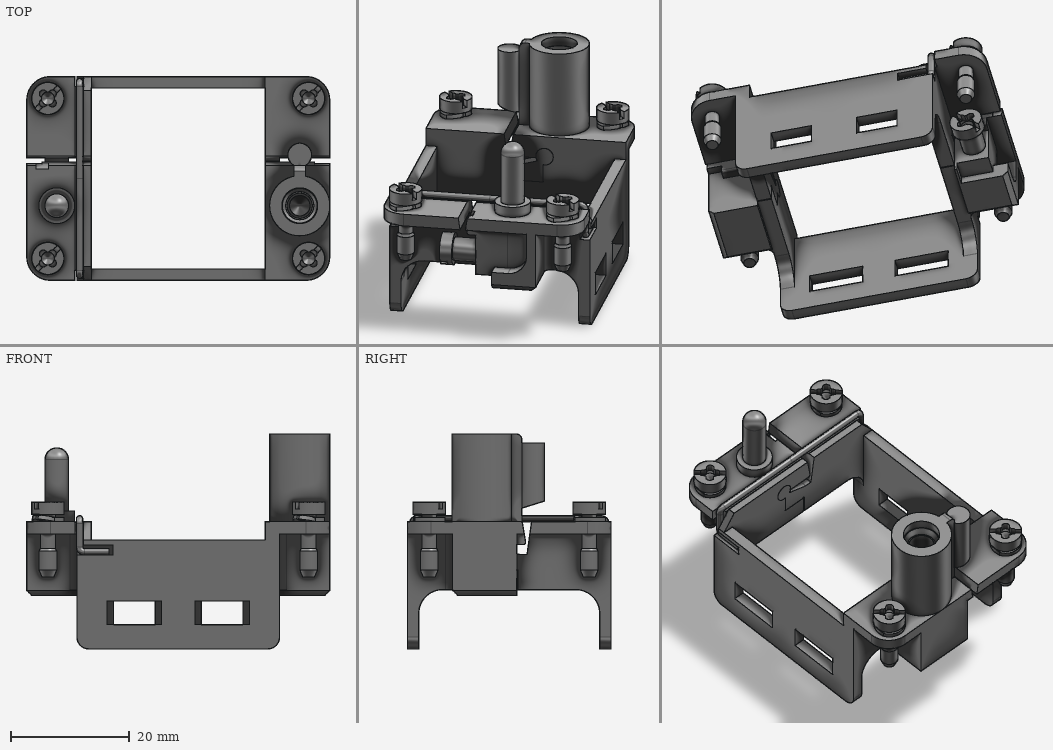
import cadquery as cq
import math


flange_half_x = 51.15 / 2
half_y = 17.2
wall_half_x = 17.1
opening_half_x = 14.65
side_wall = 1.95

side_top = 18.4
flange_top = 21.5
flange_thickness = 2.1
flange_bottom = flange_top - flange_thickness
end_wall_bottom = 10.0
corner_radius = 4.0
leg_fillet = 4.0
wall_corner_radius = 2.0

window_bottom = 4.1
window_height = 4.0
window_x = 7.4
front_window_length = 9.2
rear_window_length = 7.0

rear_edge_top = 3.75
rear_edge_foot = 2.98
arm_level = 15.95
arm_ramp_start = 1.8
arm_ramp_end = -1.8
arm_ramp_top = 17.0
arm_bottom = 13.3
arm_tip = -2.97
rear_foot_y = 1.45
knuckle_y = -3.2
knuckle_z = 17.9
knuckle_diameter = 3.0
front_edge_top = 2.2
tongue_tip = 2.85
tongue_bottom = 17.6
tongue_half_x = 23.0
tongue_round = 0.4

block_front_y = -9.54
block_rear_y = 1.29
block_bottom = 9.0
block_chamfer = 0.9
corner_web = 1.2
recess_end_y = -7.95
recess_bottom = 12.1
recess_corner = 3.2
floor_round_start_y = -4.24
floor_round = 4.5
relief_front_y = -1.95
relief_top = 10.54
relief_depth = 5.5

guide_x = 20.5
guide_y = -4.6
pin_diameter = 4.0
pin_top = 33.95
collar_diameter = 6.05
collar_top = 23.3
socket_diameter = 10.15
socket_top = 36.3
socket_bore_diameter = 6.05
socket_bore_depth = 1.6
contact_lead_diameter = 5.85
contact_ring_diameter = 4.75
contact_ring_depth = 2.6
contact_bore_diameter = 4.25
contact_bore_depth = 13.0
contact_cone_diameter = 3.45
contact_cone_depth = 14.0
socket_web_width = 2.0
socket_web_y = 2.15
socket_web_round = 1.0
dowel_y = 3.95
dowel_diameter = 4.0
dowel_top = 34.8
dowel_low = 23.7
dowel_high = 24.95

screw_x = 22.0
screw_y = 13.5
head_diameter = 5.5
head_height = 2.1
head_bottom = 22.7
head_slot_width = 0.85
head_slot_depth = 1.2
cross_width = 1.3
cross_length = 3.5
cross_depth = 1.3
cross_cone_diameter = 2.2
cross_cone_depth = 1.9
neck_diameter = 2.5
neck_end = 17.0
thread_diameter = 3.0
thread_start = 16.5
thread_end = 13.35
screw_tip_diameter = 2.0
screw_tip = 12.15
washer_diameter = 5.4
washer_thickness = 0.7
washer_fold = 0.92
washer_fold_angle = 14.0
washer_split = 0.5
slot_angle = 45.0

terminal_z = 13.95
terminal_shaft_diameter = 4.0
terminal_head_y = 5.36
terminal_embed = 1.0

notch_x = -22.95
notch_width = 2.1
notch_depth = 0.6

wire_diameter = 1.1
wire_bend = 0.8
wire_radius = wire_diameter / 2
wire_x = -16.65
wire_y = 16.3
wire_z = flange_top + 0.45
wire_end_x = -11.7
groove_outer_x = -17.45
groove_inner_x = -15.95
wire_slot_end_x = -11.05
wire_slot_bottom = 15.85
wire_foot_z = wire_slot_bottom + wire_radius
wire_slot_top = 17.55
wire_slot_floor = 15.53
wall_slope_y = 14.85


def box(x0, x1, y0, y1, z0, z1):
    return cq.Workplane("XY").box(x1 - x0, y1 - y0, z1 - z0, centered=False).translate((x0, y0, z0))


def along_x(points, x0, x1):
    """Extrude a closed (y, z) outline from x0 to x1."""
    return cq.Workplane("YZ", origin=(x0, 0, 0)).polyline(points).close().extrude(x1 - x0)


def turned(profile):
    """Turn a closed (radius, z) outline about the Z axis."""
    return cq.Workplane("XZ").polyline(profile).close().revolve(360, (0, 0), (0, 1))


def cylinder(x, y, z0, z1, diameter):
    return cq.Workplane("XY", origin=(x, y, z0)).circle(diameter / 2).extrude(z1 - z0)


def both_ends(shape):
    return shape.union(shape.mirror("YZ"))


def screw_head():
    """Cheese head standing on z = 0, with a straight slot and a cross recess."""
    head = cylinder(0, 0, 0, head_height, head_diameter)
    slot = box(-head_diameter, head_diameter, -head_slot_width / 2, head_slot_width / 2,
               head_height - head_slot_depth, head_height)
    arm = (
        cq.Workplane("XY", origin=(0, 0, head_height - cross_depth))
        .slot2D(cross_length, cross_width)
        .extrude(cross_depth)
    )
    cone = turned([
        (0, head_height),
        (cross_cone_diameter / 2, head_height),
        (cross_cone_diameter / 2, head_height - cross_depth),
        (0, head_height - cross_cone_depth),
    ])
    recess = slot.union(arm).union(arm.rotate((0, 0, 0), (0, 0, 1), 90)).union(cone)
    return head.cut(recess).rotate((0, 0, 0), (0, 0, 1), slot_angle)


def spring_washer():
    """Split washer on z = 0 whose segment at the split is bent upward."""
    ring = cylinder(0, 0, 0, washer_thickness, washer_diameter)
    ring = ring.cut(cylinder(0, 0, 0, washer_thickness, neck_diameter))
    segment = box(-washer_diameter, -washer_fold, -washer_diameter, washer_diameter, 0, washer_thickness)
    hinge_start = (-washer_fold, 0, 0)
    hinge_end = (-washer_fold, 1, 0)
    bent = ring.intersect(segment).rotate(hinge_start, hinge_end, washer_fold_angle)
    split = box(-washer_diameter, 0, -washer_split / 2, washer_split / 2, 0, 2 * washer_thickness)
    return ring.cut(segment).union(bent).cut(split).rotate((0, 0, 0), (0, 0, 1), slot_angle)


def fixing_screw(x, y):
    """Screw through the flange, with its spring washer."""
    shank = turned([
        (0, head_bottom),
        (neck_diameter / 2, head_bottom),
        (neck_diameter / 2, neck_end),
        (thread_diameter / 2, thread_start),
        (thread_diameter / 2, thread_end),
        (screw_tip_diameter / 2, screw_tip),
        (0, screw_tip),
    ])
    screw = shank.union(screw_head().translate((0, 0, head_bottom)))
    screw = screw.union(spring_washer().translate((0, 0, flange_top)))
    return screw.translate((x, y, 0))


def terminal_screw():
    """Screw along Y whose shaft is rooted in the block below the guide pin."""
    shaft_length = terminal_head_y - block_rear_y + terminal_embed
    shaft = cylinder(0, 0, -shaft_length, 0, terminal_shaft_diameter)
    head = screw_head().rotate((0, 0, 0), (0, 0, 1), 90)
    screw = shaft.union(head).rotate((0, 0, 0), (1, 0, 0), -90)
    return screw.translate((-guide_x, terminal_head_y, terminal_z))


def side_wall_plate(outer_y, inner_y, window_length):
    """Side wall with rounded lower corners and two windows."""
    y0 = min(outer_y, inner_y)
    y1 = max(outer_y, inner_y)
    plate = box(-wall_half_x, wall_half_x, y0, y1, 0, side_top)
    plate = plate.edges("|Y and <Z").fillet(wall_corner_radius)
    for x in (-window_x, window_x):
        plate = plate.cut(box(x - window_length / 2, x + window_length / 2, y0, y1,
                              window_bottom, window_bottom + window_height))
    return plate


def leg_gusset(inner_y):
    """Concave fillet between the bottom of an end wall and a side wall."""
    toward_gap = -math.copysign(leg_fillet, inner_y)
    z0 = end_wall_bottom - leg_fillet
    arc_y = inner_y + toward_gap * (1 - math.sqrt(0.5))
    arc_z = end_wall_bottom - leg_fillet * (1 - math.sqrt(0.5))
    gusset = (
        cq.Workplane("YZ", origin=(opening_half_x, 0, 0))
        .moveTo(inner_y, z0)
        .threePointArc((arc_y, arc_z), (inner_y + toward_gap, end_wall_bottom))
        .lineTo(inner_y, end_wall_bottom)
        .close()
        .extrude(wall_half_x - opening_half_x)
    )
    return both_ends(gusset)


def side_wall_with_gussets(outer_y, inner_y, window_length):
    return side_wall_plate(outer_y, inner_y, window_length).union(leg_gusset(inner_y))


def knuckle():
    return (
        cq.Workplane("YZ", origin=(opening_half_x, knuckle_y, knuckle_z))
        .circle(knuckle_diameter / 2)
        .extrude(wall_half_x - opening_half_x)
    )


def flange(outline, corner_selector):
    """Flange from its (y, z) outline, with its free outer corner rounded."""
    plate = along_x(outline, opening_half_x, flange_half_x)
    return plate.edges("|Z").edges(corner_selector).fillet(corner_radius)


def front_edge_at(z):
    slope = (tongue_tip - front_edge_top) / (flange_top - tongue_bottom)
    return front_edge_top + slope * (flange_top - z)


def rear_edge_at(z):
    slope = (rear_edge_top - rear_edge_foot) / (flange_top - arm_level)
    return rear_edge_top - slope * (flange_top - z)


def rear_end():
    """End wall with the hook arm and knuckle, and the flange over it."""
    wall = along_x([
        (half_y, flange_top),
        (rear_edge_top, flange_top),
        (rear_edge_foot, arm_level),
        (arm_ramp_start, arm_level),
        (arm_ramp_end, arm_ramp_top),
        (arm_tip, knuckle_z),
        (arm_tip, arm_bottom),
        (rear_foot_y, arm_bottom),
        (rear_foot_y, end_wall_bottom),
        (half_y, end_wall_bottom),
    ], opening_half_x, wall_half_x)
    plate = flange([
        (half_y, flange_bottom),
        (half_y, flange_top),
        (rear_edge_top, flange_top),
        (rear_edge_at(flange_bottom), flange_bottom),
    ], ">X and >Y")
    return wall.union(knuckle()).union(plate)


def front_end():
    """End wall with the knuckle socket, the flange, its drafted tongue and the block below."""
    wall = along_x([
        (-half_y, flange_top),
        (front_edge_top, flange_top),
        (tongue_tip, tongue_bottom),
        (arm_tip, tongue_bottom),
        (arm_tip, arm_bottom),
        (block_rear_y, arm_bottom),
        (block_rear_y, end_wall_bottom),
        (-half_y, end_wall_bottom),
    ], opening_half_x, wall_half_x)
    tongue = along_x([
        (arm_tip, flange_top),
        (front_edge_top, flange_top),
        (tongue_tip, tongue_bottom),
        (arm_tip, tongue_bottom),
    ], wall_half_x, tongue_half_x)
    plate = flange([
        (-half_y, flange_bottom),
        (-half_y, flange_top),
        (front_edge_top, flange_top),
        (front_edge_at(flange_bottom), flange_bottom),
    ], ">X and <Y")
    end = wall.union(tongue).edges("|X and >Y").fillet(tongue_round)
    return end.cut(knuckle()).union(plate).union(front_block())


def front_block():
    """Block below the flange, with a concave web joining its side to the end wall."""
    block = box(wall_half_x, flange_half_x, block_front_y, block_rear_y, block_bottom, flange_bottom)
    block = block.edges("<Z").edges(">X or <Y").chamfer(block_chamfer)
    arc_inset = corner_web * (1 - math.sqrt(0.5))
    web = (
        cq.Workplane("XY", origin=(0, 0, end_wall_bottom))
        .moveTo(wall_half_x, block_front_y)
        .lineTo(wall_half_x + corner_web, block_front_y)
        .threePointArc(
            (wall_half_x + arc_inset, block_front_y - arc_inset),
            (wall_half_x, block_front_y - corner_web),
        )
        .close()
        .extrude(flange_bottom - end_wall_bottom)
    )
    return block.union(web)


def pocket_in_block():
    """Recess in the outer face of the block, its floor rounding away toward the -Y end."""
    floor_x = -tongue_half_x
    turn = math.asin((floor_round_start_y - recess_end_y) / floor_round)

    def floor_point(angle):
        return (
            floor_x + floor_round * (1 - math.cos(angle)),
            floor_round_start_y - floor_round * math.sin(angle),
        )

    plan = (
        cq.Workplane("XY", origin=(0, 0, recess_bottom))
        .moveTo(-flange_half_x, block_rear_y)
        .lineTo(floor_x, block_rear_y)
        .lineTo(floor_x, floor_round_start_y)
        .threePointArc(floor_point(turn / 2), floor_point(turn))
        .lineTo(-flange_half_x, recess_end_y)
        .close()
        .extrude(flange_bottom - recess_bottom)
    )
    side = box(-flange_half_x, -wall_half_x, recess_end_y, block_rear_y, recess_bottom, flange_bottom)
    side = side.edges("|X and <Y and <Z").fillet(recess_corner)
    lower_opening = box(-flange_half_x, floor_x, relief_front_y, block_rear_y, block_bottom, recess_bottom)
    relief = box(floor_x, floor_x + relief_depth, relief_front_y, block_rear_y, block_bottom, relief_top)
    return plan.intersect(side).union(lower_opening).union(relief)


def marking_notch():
    """Small notch that runs out toward the bottom of the drafted flange edge."""
    edge_foot = front_edge_at(flange_bottom)
    return along_x([
        (front_edge_top - notch_depth, flange_top),
        (front_edge_top, flange_top),
        (edge_foot, flange_bottom),
    ], notch_x - notch_width / 2, notch_x + notch_width / 2)


def guide_pin():
    """Guide pin with a hemispherical tip, standing in a collar."""
    tip_start = pin_top - pin_diameter / 2
    pin = cylinder(-guide_x, guide_y, flange_bottom, tip_start, pin_diameter)
    tip = cq.Workplane("XY", origin=(-guide_x, guide_y, tip_start)).sphere(pin_diameter / 2)
    return pin.union(tip).union(cylinder(-guide_x, guide_y, flange_bottom, collar_top, collar_diameter))


def socket():
    """Guide socket with a stepped bore, and the coding dowel carried on a web."""
    barrel = cylinder(guide_x, guide_y, flange_bottom, socket_top, socket_diameter)
    web = box(guide_x - socket_web_width / 2, guide_x + socket_web_width / 2,
              guide_y, socket_web_y, flange_bottom, socket_top)
    web = web.edges("|X and >Y and >Z").fillet(socket_web_round)
    dowel = cylinder(guide_x, dowel_y, flange_top, dowel_top, dowel_diameter)
    dowel_radius = dowel_diameter / 2
    low_y = dowel_y - dowel_radius
    high_y = dowel_y + dowel_radius
    below = along_x([
        (low_y, flange_top),
        (high_y, flange_top),
        (high_y, dowel_high),
        (low_y, dowel_low),
    ], guide_x - dowel_radius, guide_x + dowel_radius)
    bore = turned([
        (0, 0),
        (socket_bore_diameter / 2, 0),
        (socket_bore_diameter / 2, -socket_bore_depth),
        (contact_lead_diameter / 2, -socket_bore_depth),
        (contact_ring_diameter / 2, -contact_ring_depth),
        (contact_bore_diameter / 2, -contact_ring_depth),
        (contact_bore_diameter / 2, -contact_bore_depth),
        (contact_cone_diameter / 2, -contact_bore_depth),
        (0, -contact_cone_depth),
    ]).translate((guide_x, guide_y, socket_top))
    return barrel.union(web).union(dowel.cut(below)).cut(bore)


def wire_grooves(side):
    """Room for the wire in one half: side is -1 for the front half and +1 for the rear half."""
    y_low, y_high = sorted((side * wire_slot_floor, side * half_y))
    across = box(groove_outer_x, groove_inner_x, -half_y, half_y, wire_z - wire_radius, flange_top)
    down = box(groove_outer_x, groove_inner_x, y_low, y_high, wire_slot_bottom, flange_top)
    foot = box(-wall_half_x, wire_slot_end_x, y_low, y_high, wire_slot_bottom, wire_slot_top)
    slope = along_x([
        (side * wall_slope_y, flange_top),
        (side * half_y, flange_top),
        (side * half_y, side_top),
    ], groove_inner_x, -opening_half_x)
    return across.union(down).union(foot).union(slope)


def spring_wire():
    """Round wire running across the frame, with both ends bent down and then along X."""
    arc_inset = wire_bend * (1 - math.sqrt(0.5))
    riser = (
        cq.Workplane("XZ", origin=(0, -wire_y, 0))
        .moveTo(wire_end_x, wire_foot_z)
        .lineTo(wire_x + wire_bend, wire_foot_z)
        .threePointArc((wire_x + arc_inset, wire_foot_z + arc_inset), (wire_x, wire_foot_z + wire_bend))
        .lineTo(wire_x, wire_z - wire_bend)
    )
    bridge = (
        cq.Workplane("YZ", origin=(wire_x, 0, 0))
        .moveTo(-wire_y, wire_z - wire_bend)
        .threePointArc((-wire_y + arc_inset, wire_z - arc_inset), (-wire_y + wire_bend, wire_z))
        .lineTo(0, wire_z)
    )
    foot_section = cq.Workplane("YZ", origin=(wire_end_x, -wire_y, wire_foot_z)).circle(wire_radius)
    riser_section = cq.Workplane("XY", origin=(wire_x, -wire_y, wire_z - wire_bend)).circle(wire_radius)
    half_wire = foot_section.sweep(riser).union(riser_section.sweep(bridge))
    return half_wire.union(half_wire.mirror("XZ"))


def front_half():
    half = both_ends(front_end())
    half = half.union(side_wall_with_gussets(-half_y, -half_y + side_wall, front_window_length))
    half = half.cut(pocket_in_block()).cut(marking_notch()).cut(wire_grooves(-1))
    half = half.union(guide_pin()).union(socket()).union(terminal_screw())
    for x in (-screw_x, screw_x):
        half = half.union(fixing_screw(x, -screw_y))
    return half


def rear_half():
    half = both_ends(rear_end())
    half = half.union(side_wall_with_gussets(half_y, half_y - side_wall, rear_window_length))
    half = half.cut(wire_grooves(1))
    for x in (-screw_x, screw_x):
        half = half.union(fixing_screw(x, screw_y))
    return half


front_frame = front_half()
rear_frame = rear_half()
retaining_wire = spring_wire()

result = cq.Compound.makeCompound([front_frame.val(), rear_frame.val(), retaining_wire.val()])